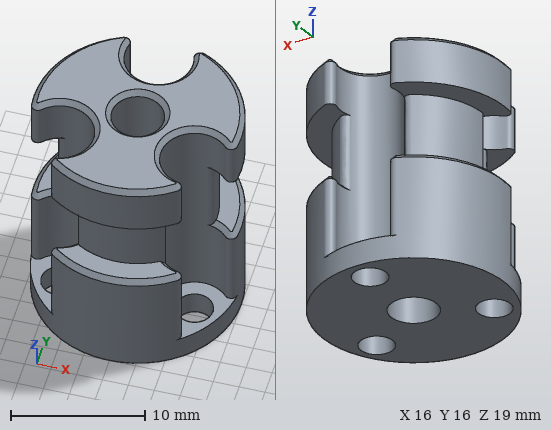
import cadquery as cq
import math

height = 19
outer_radius = 8.0
base_height = 2.0
shoulder_height = 9.0
head_bottom = 15.0
neck_radius = 6.1
bore_radius = 2.0
screw_radius = 1.4
screw_circle_radius = 6.0
pocket_radius = 2.6
corner_radius = 0.5
chamfer = 0.4
pocket_count = 3
first_pocket_angle = 90
sharp_neck_corner = (330, -1)

pocket_angles = [first_pocket_angle + i * 360 / pocket_count for i in range(pocket_count)]


def polar(radius, angle):
    """Point at a radius and an angle in degrees."""
    return (radius * math.cos(math.radians(angle)), radius * math.sin(math.radians(angle)))


screw_centres = [polar(screw_circle_radius, angle) for angle in pocket_angles]


def lobed_prism(radius, bottom, top, sharp_corner=None):
    """Disc with the open screw pockets cut into its rim.

    Its corners are rounded, except the sharp one if it is given.
    """
    disc = cq.Workplane("XY").workplane(offset=bottom).circle(radius).extrude(top - bottom)
    pockets = (
        cq.Workplane("XY").workplane(offset=bottom)
        .pushPoints(screw_centres).circle(pocket_radius).extrude(top - bottom)
    )
    chord = (screw_circle_radius**2 + radius**2 - pocket_radius**2) / (2 * screw_circle_radius)
    half_angle = math.degrees(math.acos(chord / radius))
    lobes = disc.cut(pockets)
    middle = (bottom + top) / 2
    for angle in pocket_angles:
        for side in (-1, 1):
            if (angle % 360, side) == sharp_corner:
                continue
            corner = polar(radius, angle + side * half_angle)
            edge = cq.selectors.NearestToPointSelector((*corner, middle))
            lobes = lobes.edges(edge).fillet(corner_radius)
    return lobes


def chamfered_lobes(bottom, top):
    """Full-width lobed prism with a chamfer around its top face."""
    return lobed_prism(outer_radius, bottom, top).faces(">Z").chamfer(chamfer)


base = cq.Workplane("XY").circle(outer_radius).extrude(base_height)
body = chamfered_lobes(base_height, shoulder_height)
neck = lobed_prism(neck_radius, base_height, head_bottom, sharp_neck_corner)
head = chamfered_lobes(head_bottom, height)
result = base.union(body).union(neck).union(head)

bore = cq.Workplane("XY").circle(bore_radius).extrude(height)
mouth = (
    cq.Workplane("XY").workplane(offset=height - chamfer)
    .circle(bore_radius).workplane(offset=chamfer).circle(bore_radius + chamfer).loft()
)
result = result.cut(bore).cut(mouth)

screw_holes = cq.Workplane("XY").pushPoints(screw_centres).circle(screw_radius).extrude(base_height)
result = result.cut(screw_holes)